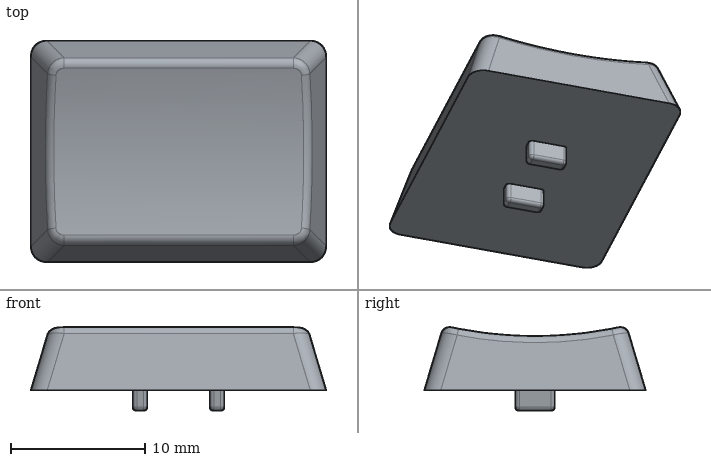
import cadquery as cq

length = 22.0
width = 16.5
draft_angle = 16.6
corner_radius = 1.25
rim_radius = 0.65
blank_height = 6.6

dish_radius = 29.48
dish_floor = 4.05

leg_spacing = 5.75
leg_thickness = 1.1
leg_width = 2.95
leg_length = 1.52
leg_side_radius = 0.3
leg_tip_radius = 0.29


def make_cap():
    blank = cq.Workplane("XY").rect(length, width).extrude(blank_height, taper=draft_angle)
    blank = blank.edges("not(#Z or |X or |Y)").fillet(corner_radius)
    dish = (
        cq.Workplane("YZ")
        .center(0, dish_floor + dish_radius)
        .circle(dish_radius)
        .extrude(length / 2, both=True)
    )
    cap = blank.cut(dish)
    rim = cap.faces(">Z")
    return rim.edges().fillet(rim_radius)


def make_leg(x):
    leg = (
        cq.Workplane("XY")
        .center(x, 0)
        .rect(leg_thickness, leg_width)
        .extrude(-leg_length)
    )
    leg = leg.edges("|Z").fillet(leg_side_radius)
    return leg.faces("<Z").edges().fillet(leg_tip_radius)


result = make_cap()
for side in (-1, 1):
    result = result.union(make_leg(side * leg_spacing / 2))